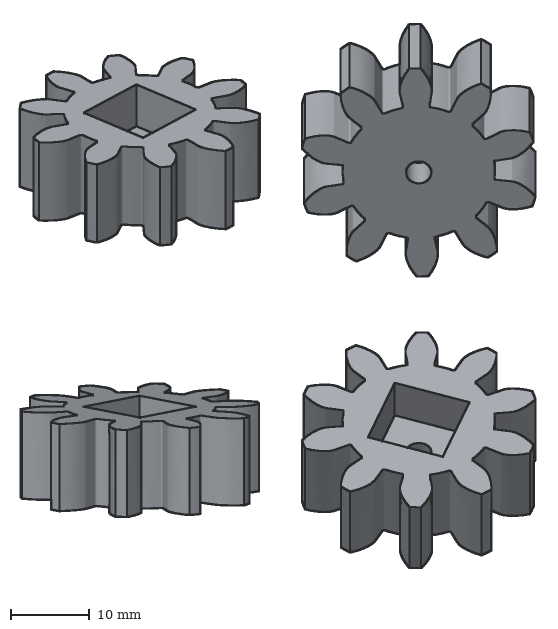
import cadquery as cq
import math

TEETH = 10
TIP_DIAMETER = 30.48
PRESSURE_ANGLE = math.radians(20)
DEDENDUM_FACTOR = 1.2
ROOT_FILLET = 0.25
THICKNESS = 11.28

POCKET_SIDE = 10.05
POCKET_DEPTH = 6.0
BORE_DIAMETER = 3.2

MODULE = TIP_DIAMETER / (TEETH + 2)
TIP_RADIUS = TIP_DIAMETER / 2
PITCH_RADIUS = MODULE * TEETH / 2
BASE_RADIUS = PITCH_RADIUS * math.cos(PRESSURE_ANGLE)
ROOT_RADIUS = PITCH_RADIUS - DEDENDUM_FACTOR * MODULE

FLANK_STEPS = 6
ROOT_OVERLAP = 0.6


def involute_angle(pressure_angle):
    return math.tan(pressure_angle) - pressure_angle


BASE_HALF_ANGLE = math.pi / (2 * TEETH) + involute_angle(PRESSURE_ANGLE)


def polar(radius, angle):
    return (radius * math.cos(angle), radius * math.sin(angle))


def flank_point(step):
    """Point on the upper involute flank, from base circle (0) to tip."""
    radius = BASE_RADIUS + (TIP_RADIUS - BASE_RADIUS) * step / FLANK_STEPS
    local_pressure = math.acos(min(1.0, BASE_RADIUS / radius))
    return polar(radius, BASE_HALF_ANGLE - involute_angle(local_pressure))


def make_tooth():
    """Tooth on the +X axis: radial lower flanks, involute upper flanks."""
    upper = [flank_point(step) for step in range(FLANK_STEPS + 1)]
    lower = [(x, -y) for x, y in reversed(upper)]
    inner_radius = ROOT_RADIUS - ROOT_OVERLAP
    return (
        cq.Workplane("XY")
        .moveTo(*polar(inner_radius, BASE_HALF_ANGLE))
        .lineTo(*upper[0])
        .spline(upper[1:], includeCurrent=True)
        .threePointArc((TIP_RADIUS, 0), lower[0])
        .spline(lower[1:], includeCurrent=True)
        .lineTo(*polar(inner_radius, -BASE_HALF_ANGLE))
        .close()
        .extrude(THICKNESS)
    )


def make_gear():
    gear = cq.Workplane("XY").circle(ROOT_RADIUS).extrude(THICKNESS)
    tooth = make_tooth()
    for index in range(TEETH):
        gear = gear.union(tooth.rotate((0, 0, 0), (0, 0, 1), index * 360 / TEETH))
    return gear


def fillet_roots(gear):
    """Round the vertical corners where the teeth meet the root circle."""
    split_radius = (ROOT_RADIUS + BASE_RADIUS) / 2
    corners = gear.edges("|Z").filter(
        lambda edge: math.hypot(edge.Center().x, edge.Center().y) < split_radius
    )
    return corners.fillet(ROOT_FILLET)


def cut_centre(gear):
    """Sink the square pocket into the top and drill the bore through its floor."""
    return (
        gear.faces(">Z").workplane(origin=(0, 0, THICKNESS))
        .rect(POCKET_SIDE, POCKET_SIDE).cutBlind(-POCKET_DEPTH)
        .faces(">Z").workplane(origin=(0, 0, THICKNESS))
        .circle(BORE_DIAMETER / 2).cutThruAll()
    )


result = cut_centre(fillet_roots(make_gear()))